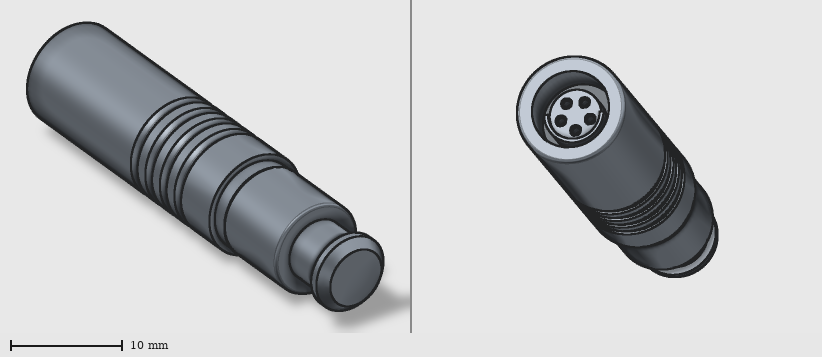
import cadquery as cq

length = 44.0
shell_end = 28.4
neck_end = 29.95
sleeve_end = 37.95
flange_start = 42.3
flange_taper_start = 43.08

shell_diameter = 10.0
shell_radius = shell_diameter / 2
neck_radius = 4.4
sleeve_radius = 4.5
stem_radius = 3.0
flange_radius = 3.7
flange_end_radius = 2.8
shell_fillet = 0.3
sleeve_fillet = 0.25

groove_count = 4
groove_start = 16.25
groove_pitch = 2.25
groove_width = 1.05
groove_flank = 0.55
groove_depth = 0.25

socket_diameter = 7.1
socket_radius = socket_diameter / 2
socket_depth = 4.4
insert_radius = 2.38
insert_face = 2.02
key_outer_radius = 2.75
key_tip = 1.3

contact_count = 5
contact_circle_radius = 1.4
contact_mouth_radius = 0.5
contact_bore_radius = 0.35
contact_recess = 0.3
contact_depth = 1.75


def disc(radius, start, end):
    """Cylinder on the X axis between two stations."""
    return cq.Workplane("YZ", origin=(start, 0, 0)).circle(radius).extrude(end - start)


def make_body():
    """Turned outer shape."""
    shell = disc(shell_radius, 0, shell_end).faces("<X").edges().fillet(shell_fillet)
    sleeve = disc(sleeve_radius, neck_end, sleeve_end).faces(">X").edges().fillet(sleeve_fillet)
    flange = disc(flange_radius, flange_start, length).faces(">X").chamfer(
        length - flange_taper_start, flange_radius - flange_end_radius
    )
    neck = disc(neck_radius, shell_end, neck_end)
    stem = disc(stem_radius, sleeve_end, flange_start)
    return shell.union(neck).union(sleeve).union(stem).union(flange)


def make_groove(start):
    """Ring of material to remove for one grip groove."""
    floor_radius = shell_radius - groove_depth
    end = start + groove_width
    return (
        cq.Workplane("XY")
        .moveTo(start, shell_radius)
        .lineTo(start + groove_flank, floor_radius)
        .tangentArcPoint((end, floor_radius), relative=False)
        .lineTo(end, shell_radius)
        .close()
        .revolve(360, (0, 0, 0), (1, 0, 0))
    )


def make_key():
    """Lower half of a ring that wraps the insert and stands proud of its face."""
    ring = disc(key_outer_radius, key_tip, socket_depth).cut(disc(insert_radius, key_tip, socket_depth))
    lower_half = cq.Workplane("XY").box(length, length, length).translate((0, 0, -length / 2))
    return ring.intersect(lower_half)


def make_contact_hole(angle):
    """Stepped hole in the insert face, turned about the axis from the lowest position."""
    step = insert_face + contact_recess
    mouth = disc(contact_mouth_radius, insert_face, step)
    bore = disc(contact_bore_radius, step, insert_face + contact_depth)
    lowest_hole = mouth.union(bore).translate((0, 0, -contact_circle_radius))
    return lowest_hole.rotate((0, 0, 0), (1, 0, 0), angle)


result = make_body()
for index in range(groove_count):
    result = result.cut(make_groove(groove_start + index * groove_pitch))
result = result.cut(disc(socket_radius, 0, socket_depth))
result = result.union(disc(insert_radius, insert_face, socket_depth))
result = result.union(make_key())
for index in range(contact_count):
    result = result.cut(make_contact_hole(index * 360 / contact_count))